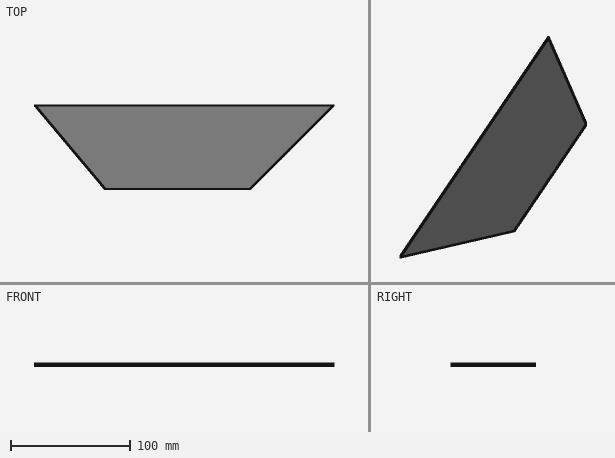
import cadquery as cq

length = 250.0
depth = 70.0
thickness = 2.0
left_inset = 58.8
right_inset = depth

outline = [
    (0, depth),
    (left_inset, 0),
    (length - right_inset, 0),
    (length, depth),
]

result = cq.Workplane("XY").polyline(outline).close().extrude(thickness)